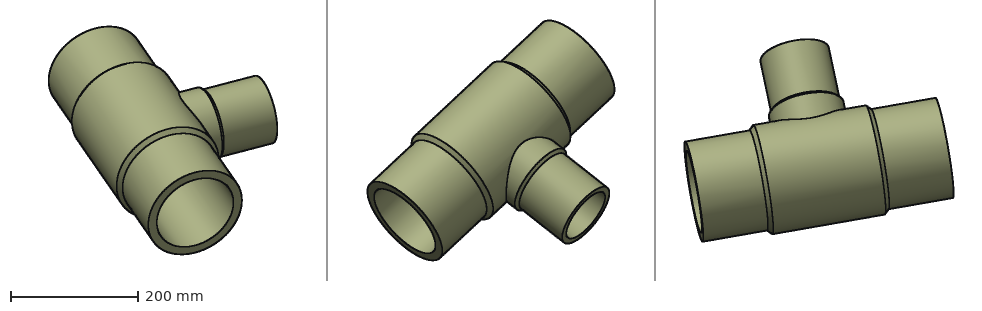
import cadquery as cq

run_length = 400.0
run_diameter = 160.0
run_bore = 131.0

body_length = 194.0
body_diameter = 174.5
body_chamfer = (body_diameter - run_diameter) / 2

branch_reach = 202.0
branch_diameter = 110.0
branch_bore = 90.0
collar_reach = 111.0
collar_diameter = 120.0
collar_chamfer = (collar_diameter - branch_diameter) / 2


def run_cylinder(diameter, length):
    """Cylinder along X, centred on the origin."""
    return cq.Workplane("YZ").circle(diameter / 2).extrude(length / 2, both=True)


def branch_cylinder(diameter, reach):
    """Cylinder along +Y, starting on the main axis."""
    return cq.Workplane("XZ").circle(diameter / 2).extrude(-reach)


run_pipe = run_cylinder(run_diameter, run_length)
body = run_cylinder(body_diameter, body_length).edges().chamfer(body_chamfer)
branch_pipe = branch_cylinder(branch_diameter, branch_reach)
collar = branch_cylinder(collar_diameter, collar_reach).faces(">Y").edges().chamfer(collar_chamfer)
tee = run_pipe.union(body).union(collar).union(branch_pipe)

result = tee.cut(run_cylinder(run_bore, run_length)).cut(branch_cylinder(branch_bore, branch_reach))